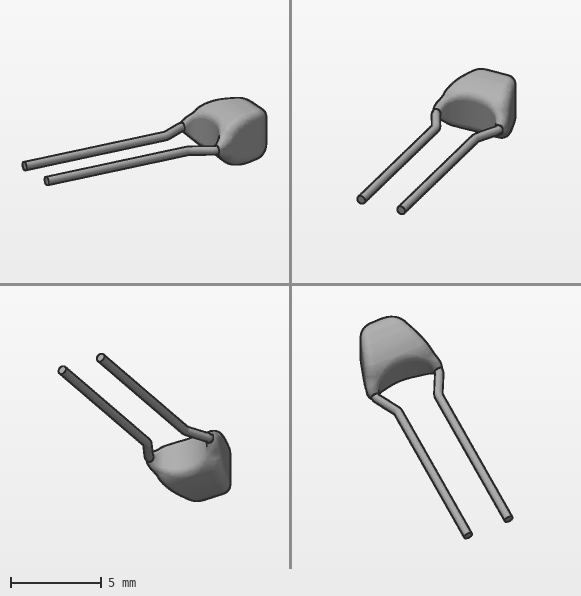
import cadquery as cq
import math

OVERALL_LENGTH = 14.5
BODY_THICKNESS = 3.0
HALF_THICKNESS = BODY_THICKNESS / 2

LEAD_DIAMETER = 0.5
LEAD_RADIUS = LEAD_DIAMETER / 2
LEAD_PITCH = 2.5
HORN_PITCH = 3.89
BEND_RADIUS = LEAD_DIAMETER
BEND_ANGLE = math.radians(28)

CROWN_RADIUS = 1.46
FLANK_ANGLE = math.radians(18.2)
FLANK_END_X = 2.19
MOUTH_Y = -3.22
MOUTH_RADIUS = 2.77
MOUTH_HALF_WIDTH = 1.38
HORN_TIP_Y = -4.05
HORN_OUTER_X = HORN_PITCH / 2 + LEAD_RADIUS
HORN_INNER_X = HORN_PITCH / 2 - LEAD_RADIUS

BACK_RADIUS = 1.17
BACK_OVERHANG = 0.05
FLAT_END_Y = -1.7
SLOPE_RADIUS = 3.16
SLOPE_ANGLE = math.radians(22)
SHOULDER_RADIUS = 1.45
TAPER_ANGLE = math.radians(45)

EDGE_RADIUS = 0.5
TIP_EDGE_RADIUS = LEAD_RADIUS
FLANK_FADE_START_Y = -3.41
MOUTH_FADE_START_X = 0.44

TINY = 0.0001


def point_on_circle(center, radius, angle):
    """Point at an angle, counted from the vertical axis towards the horizontal one."""
    return (center[0] + radius * math.sin(angle), center[1] + radius * math.cos(angle))


def plan_half():
    """Right half of the body's outline along Z, as a block standing on Z = 0."""
    crown_center = (0, -CROWN_RADIUS)
    crown_sweep = math.pi / 2 - FLANK_ANGLE
    crown_mid = point_on_circle(crown_center, CROWN_RADIUS, crown_sweep / 2)
    crown_end = point_on_circle(crown_center, CROWN_RADIUS, crown_sweep)
    flank_length_y = (FLANK_END_X - crown_end[0]) / math.tan(FLANK_ANGLE)
    flank_end = (FLANK_END_X, crown_end[1] - flank_length_y)

    mouth_center = (0, MOUTH_Y - MOUTH_RADIUS)
    mouth_sweep = math.asin(MOUTH_HALF_WIDTH / MOUTH_RADIUS)
    mouth_mid = point_on_circle(mouth_center, MOUTH_RADIUS, mouth_sweep / 2)
    mouth_end = point_on_circle(mouth_center, MOUTH_RADIUS, mouth_sweep)

    crown_and_flank = (
        cq.Workplane("XY")
        .threePointArc(crown_mid, crown_end)
        .lineTo(*flank_end)
        .tangentArcPoint((HORN_OUTER_X, HORN_TIP_Y), relative=False)
        .lineTo(0, HORN_TIP_Y)
        .close()
        .extrude(HALF_THICKNESS)
    )
    mouth = (
        cq.Workplane("XY")
        .moveTo(0, MOUTH_Y)
        .threePointArc(mouth_mid, mouth_end)
        .tangentArcPoint((HORN_INNER_X, HORN_TIP_Y), relative=False)
        .lineTo(0, HORN_TIP_Y)
        .close()
        .extrude(HALF_THICKNESS)
    )
    return crown_and_flank.cut(mouth)


def side_half():
    """Upper half of the body's outline along X, as a block wide enough for the right half."""
    back_center = (BACK_OVERHANG - BACK_RADIUS, HALF_THICKNESS - BACK_RADIUS)
    back_mid = point_on_circle(back_center, BACK_RADIUS, math.pi / 4)
    slope_center = (FLAT_END_Y, HALF_THICKNESS - SLOPE_RADIUS)
    slope_mid = point_on_circle(slope_center, SLOPE_RADIUS, -SLOPE_ANGLE / 2)
    slope_end = point_on_circle(slope_center, SLOPE_RADIUS, -SLOPE_ANGLE)
    radius_step = SLOPE_RADIUS - SHOULDER_RADIUS
    shoulder_center = point_on_circle(slope_center, radius_step, -SLOPE_ANGLE)
    shoulder_mid = point_on_circle(shoulder_center, SHOULDER_RADIUS, -(SLOPE_ANGLE + TAPER_ANGLE) / 2)
    shoulder_end = point_on_circle(shoulder_center, SHOULDER_RADIUS, -TAPER_ANGLE)
    tip_half_height = shoulder_end[1] - (shoulder_end[0] - HORN_TIP_Y) * math.tan(TAPER_ANGLE)
    return (
        cq.Workplane("YZ")
        .moveTo(BACK_OVERHANG, 0)
        .lineTo(BACK_OVERHANG, back_center[1])
        .threePointArc(back_mid, (back_center[0], HALF_THICKNESS))
        .lineTo(FLAT_END_Y, HALF_THICKNESS)
        .threePointArc(slope_mid, slope_end)
        .threePointArc(shoulder_mid, shoulder_end)
        .lineTo(HORN_TIP_Y, tip_half_height)
        .lineTo(HORN_TIP_Y, 0)
        .close()
        .extrude(HORN_PITCH)
    )


def faded_radius(place, fade_start, fade_end):
    """Edge radius at a place: full up to fade_start, then shrinking evenly to fade_end."""
    share = (place - fade_start) / (fade_end - fade_start)
    share = min(1, max(0, share))
    return EDGE_RADIUS + share * (TIP_EDGE_RADIUS - EDGE_RADIUS)


def flank_radius(vertex):
    return faded_radius(vertex.Y, FLANK_FADE_START_Y, HORN_TIP_Y)


def mouth_radius(vertex):
    return faded_radius(vertex.X, MOUTH_FADE_START_X, HORN_INNER_X)


def round_edges(quarter):
    """Round the flank and mouth edges of a quarter body, with radii that fade along the horn."""
    rounding = cq.occ_impl.shapes.BRepFilletAPI_MakeFillet(quarter.wrapped)
    top_edges = [edge for edge in quarter.Edges() if edge.BoundingBox().zmin > TINY]
    crown_start = next(edge for edge in top_edges if touches_center(edge, 0))
    mouth_start = next(edge for edge in top_edges if touches_center(edge, MOUTH_Y))
    for first_edge, radius_at in ((crown_start, flank_radius), (mouth_start, mouth_radius)):
        rounding.Add(first_edge.wrapped)
        chain = rounding.NbContours()
        for index in range(1, rounding.NbEdges(chain) + 1):
            for vertex in cq.Edge(rounding.Edge(chain, index)).Vertices():
                rounding.SetRadius(radius_at(vertex), chain, vertex.wrapped)
    return cq.Workplane(cq.Shape.cast(rounding.Shape()).Solids()[0])


def touches_center(edge, y):
    """Whether the edge leaves the X = 0 plane at this y."""
    on_center = [vertex for vertex in edge.Vertices() if abs(vertex.X) < TINY]
    return len(on_center) == 1 and abs(on_center[0].Y - y) < TINY


def make_body():
    """Dipped capacitor body: a rounded quarter, mirrored across X = 0 and Z = 0."""
    quarter = plan_half().intersect(side_half()).val().Solids()[0]
    upper_right = round_edges(quarter)
    upper = upper_right.union(upper_right.mirror("YZ"))
    return upper.union(upper.mirror("XY")).solids()


def make_lead(side):
    """One wire lead, on the side +1 or -1 of X: down, inwards, and down to the free end."""
    top = cq.Vector(side * HORN_PITCH / 2, HORN_TIP_Y)
    inward = (HORN_PITCH - LEAD_PITCH) / 2
    bend_x = BEND_RADIUS * (1 - math.cos(BEND_ANGLE))
    bend_y = BEND_RADIUS * math.sin(BEND_ANGLE)
    half_bend_x = BEND_RADIUS * (1 - math.cos(BEND_ANGLE / 2))
    half_bend_y = BEND_RADIUS * math.sin(BEND_ANGLE / 2)
    slant_x = inward - 2 * bend_x
    slant_y = slant_x / math.tan(BEND_ANGLE)
    drop = 2 * bend_y + slant_y

    def along(inset, depth):
        return (top.x - side * inset, top.y - depth)

    path = (
        cq.Workplane("XY")
        .moveTo(*along(0, 0))
        .threePointArc(along(half_bend_x, half_bend_y), along(bend_x, bend_y))
        .lineTo(*along(bend_x + slant_x, bend_y + slant_y))
        .threePointArc(along(inward - half_bend_x, drop - half_bend_y), along(inward, drop))
        .lineTo(side * LEAD_PITCH / 2, -OVERALL_LENGTH)
    )
    return cq.Workplane("XZ", origin=(top.x, top.y, 0)).circle(LEAD_RADIUS).sweep(path)


body = make_body()
leads = [make_lead(side) for side in (-1, 1)]

result = cq.Compound.makeCompound([body.val(), *[lead.val() for lead in leads]])